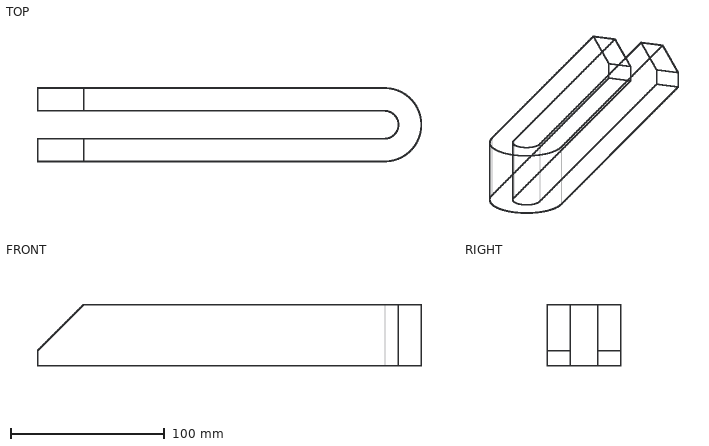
import cadquery as cq

length = 250.0
height = 40.0
leg_thickness = 15.0
slot_width = 18.0

nose_height = 10.0
nose_length = 30.0

width = slot_width + 2 * leg_thickness
bend_center_x = length - width / 2


def round_ended_bar(bar_width):
    """Full-height bar from X = 0 to the bend, closed by a half-round end."""
    radius = bar_width / 2
    return (
        cq.Workplane("XY")
        .moveTo(0, -radius)
        .lineTo(bend_center_x, -radius)
        .threePointArc((bend_center_x + radius, 0), (bend_center_x, radius))
        .lineTo(0, radius)
        .close()
        .extrude(height)
    )


def nose_cutter():
    """Wedge above the sloped nose, spanning both legs."""
    return (
        cq.Workplane("XZ")
        .moveTo(0, nose_height)
        .lineTo(nose_length, height)
        .lineTo(0, height)
        .close()
        .extrude(width / 2, both=True)
    )


result = round_ended_bar(width).cut(round_ended_bar(slot_width)).cut(nose_cutter())